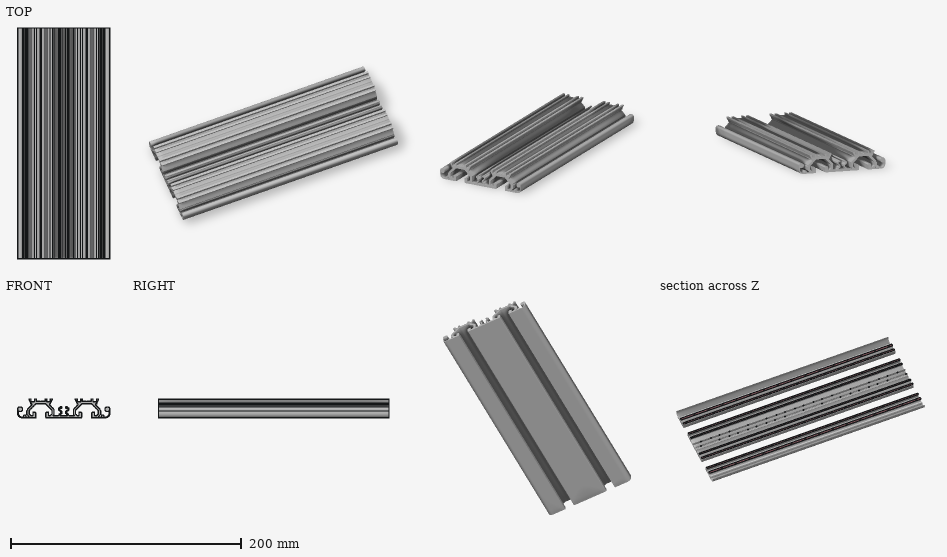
import cadquery as cq
import math

length = 200.0
width = 80.0
height = 16.5
half_width = width / 2

channel_x = 20.0
slot_half = 4.2
hook_thickness = 2.5
hook_height = 5.0
hook_chamfer = 0.8
base_thickness = 1.8
wall_outer = 11.5
wall_inner = 9.8
wall_outer_bottom_z = 2.5
wall_outer_top_z = 7.5
wall_inner_bottom_z = 3.5
wall_inner_top_z = 6.5
foot_half = 10.0
pan_half = 4.2
pan_bottom_z = 12.0
pan_top_z = 14.5
neck_half = 7.8
neck_z = 11.2

groove_width = 1.2
groove_depth = 0.3

pad_thickness = 0.5
pad_bottom_z = 3.0
pad_top_z = 6.0

rib_outer = 5.5
rib_top_width = 1.8
rib_base_width = 1.5
gutter_z = 14.0
fin_inner = 8.2
fin_tip = 10.2
fin_tip_z = 15.8
fin_root = 8.5
fin_root_top_z = 12.8
fin_root_bottom_z = 12.0

web_chamfer = 0.5

lip_thickness = 0.8
lip_radius = 3.8
ridge_x = 33.8
ridge_base_width = 3.0
ridge_top_width = 1.2
ridge_height = 2.5
bead_width = 4.5
bead_bottom_z = 5.5
bead_top_z = 9.5
bead_round = 1.8

finger_thickness = 1.0
finger_tip_radius = 0.8
finger_base_x = 3.5
finger_fillet = 1.5
finger_path = [
    (finger_base_x, base_thickness / 2),
    (finger_base_x, 3.0),
    (2.2, 4.0),
    (2.2, 5.5),
    (4.0, 7.0),
    (4.0, 8.0),
    (2.5, 9.0),
]


def extrude(sketch):
    """Extrude a closed XZ outline over the full length, centred on Y = 0."""
    return sketch.extrude(length / 2, both=True)


def prism(points):
    return extrude(cq.Workplane("XZ").polyline(points).close())


def box(x_min, x_max, z_min, z_max):
    return prism([(x_min, z_min), (x_max, z_min), (x_max, z_max), (x_min, z_max)])


def channel():
    """Arched channel with its ribs, fins, walls and hooked feet, centred on X = 0."""
    hook_outer = slot_half + hook_thickness
    corner_run = wall_inner_bottom_z - base_thickness
    half = prism([
        (0, pan_top_z - groove_depth),
        (groove_width / 2, pan_top_z),
        (rib_outer - rib_base_width, pan_top_z),
        (rib_outer - rib_top_width, height),
        (rib_outer, height),
        (rib_outer, gutter_z),
        (fin_inner, gutter_z),
        (fin_inner, height),
        (fin_tip, height),
        (fin_tip, fin_tip_z),
        (fin_root, fin_root_top_z),
        (fin_root, fin_root_bottom_z),
        (neck_half, fin_root_bottom_z),
        (neck_half, neck_z),
        (wall_outer, wall_outer_top_z),
        (wall_outer, wall_outer_bottom_z),
        (foot_half, base_thickness / 2),
        (foot_half, 0),
        (slot_half, 0),
        (slot_half, hook_height - hook_chamfer),
        (slot_half + hook_chamfer, hook_height),
        (hook_outer, hook_height),
        (hook_outer, base_thickness),
        (wall_inner - corner_run, base_thickness),
        (wall_inner, wall_inner_bottom_z),
        (wall_inner, wall_inner_top_z),
        (pan_half, pan_bottom_z),
        (0, pan_bottom_z),
    ])
    return half.union(half.mirror("YZ"))


def pad():
    """Thin strip with sloped ends on the outer face of the channel wall."""
    face = channel_x + wall_outer
    root = face - pad_thickness
    return prism([
        (root, pad_bottom_z - pad_thickness),
        (face, pad_bottom_z - pad_thickness),
        (face + pad_thickness, pad_bottom_z),
        (face + pad_thickness, pad_top_z),
        (face, pad_top_z + pad_thickness),
        (root, pad_top_z + pad_thickness),
    ])


def half_web():
    """Flat base from the middle of the part to the slot of the channel."""
    return box(0, channel_x - slot_half, 0, base_thickness)


def web_corner():
    """Wedge removed from the bottom corner of the web at the slot."""
    slot_edge = channel_x - slot_half
    return prism([(slot_edge - web_chamfer, 0), (slot_edge, 0), (slot_edge, web_chamfer)])


def lip():
    """Thin floor that curves up into a stem."""
    start = channel_x + foot_half - base_thickness
    inner_radius = lip_radius - lip_thickness
    centre_x = half_width - lip_radius
    diagonal = math.sqrt(0.5)
    return extrude(
        cq.Workplane("XZ")
        .moveTo(start, 0)
        .lineTo(centre_x, 0)
        .threePointArc(
            (centre_x + lip_radius * diagonal, lip_radius * (1 - diagonal)),
            (half_width, lip_radius),
        )
        .lineTo(half_width, bead_bottom_z + bead_round)
        .lineTo(half_width - lip_thickness, bead_bottom_z + bead_round)
        .lineTo(half_width - lip_thickness, lip_radius)
        .threePointArc(
            (centre_x + inner_radius * diagonal, lip_radius - inner_radius * diagonal),
            (centre_x, lip_thickness),
        )
        .lineTo(start, lip_thickness)
        .close()
    )


def ridge():
    return prism([
        (ridge_x - ridge_base_width / 2, lip_thickness / 2),
        (ridge_x + ridge_base_width / 2, lip_thickness / 2),
        (ridge_x + ridge_top_width / 2, ridge_height),
        (ridge_x - ridge_top_width / 2, ridge_height),
    ])


def bead():
    """Rounded bar on top of the stem."""
    blank = box(half_width - bead_width, half_width, bead_bottom_z, bead_top_z)
    return blank.edges("|Y").fillet(bead_round)


def finger():
    """Zigzag strip with a round tip and a concave fillet on the outer side of its base."""
    path = cq.Workplane("XZ").polyline(finger_path).wire()
    strip = extrude(path.offset2D(finger_thickness / 2))
    tip = extrude(cq.Workplane("XZ").center(*finger_path[-1]).circle(finger_tip_radius))
    face = finger_base_x + finger_thickness / 2
    fillet_end = face + finger_fillet
    arc_inset = finger_fillet * (1 - math.sqrt(0.5))
    fillet = extrude(
        cq.Workplane("XZ")
        .moveTo(finger_base_x, base_thickness / 2)
        .lineTo(fillet_end, base_thickness / 2)
        .lineTo(fillet_end, base_thickness)
        .threePointArc(
            (face + arc_inset, base_thickness + arc_inset),
            (face, base_thickness + finger_fillet),
        )
        .lineTo(finger_base_x, base_thickness + finger_fillet)
        .close()
    )
    return strip.union(tip).union(fillet)


half_part = (
    channel().translate((channel_x, 0, 0))
    .union(pad())
    .union(half_web())
    .cut(web_corner())
    .union(lip())
    .union(ridge())
    .union(bead())
    .union(finger())
)
result = half_part.union(half_part.mirror("YZ"))